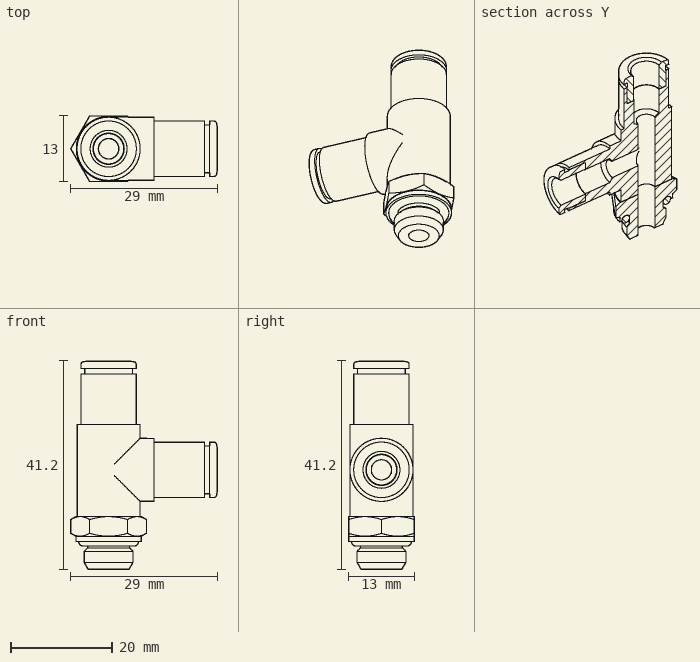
import cadquery as cq
import math

through_bore_d = 4.0
branch_axis_z = 19.7

stud_d = 9.73
neck_d = 8.3
lead_in_height = 1.4
lead_in_angle = 30.0
stud_tip_d = stud_d - 2 * lead_in_height * math.tan(math.radians(lead_in_angle))
thread_top_z = 3.55
relief_taper_height = (stud_d - neck_d) / 2
collar_d = 13.0
collar_bottom_z = 5.5
hex_bottom_z = 6.5
hex_height = 4.0
hex_top_z = hex_bottom_z + hex_height
hex_across_flats = 13.0
hex_across_corners = hex_across_flats / math.cos(math.radians(30))
hex_chamfer_d = 12.8
hex_chamfer_angle = 30.0

ring_outer_d = 11.9
ring_section_r = (ring_outer_d - neck_d) / 4
ring_center_r = (ring_outer_d + neck_d) / 4

barrel_d = 12.5
port_d = 11.0
shoulder_reach = 9.0
port_reach = 19.0
tube_bore_d = 6.0
seat_cone_angle = 30.0
seat_cone_depth = (tube_bore_d - through_bore_d) / 2 * math.tan(math.radians(seat_cone_angle))

sleeve_end_reach = 21.5
sleeve_neck_d = 9.5
sleeve_gap = 1.0
sleeve_insertion = 4.0
sleeve_bore_d = 6.2
sleeve_mouth_d = 7.3
sleeve_mouth_depth = (sleeve_mouth_d - sleeve_bore_d) / 2
sleeve_face_d = 8.8
sleeve_fillet_r = 0.55
sleeve_slope_angle = 10.0

sleeve_flange_start = port_reach + sleeve_gap
sleeve_inner_end = port_reach - sleeve_insertion


def build_stud():
    """Lower stud: threaded end, relief neck, ring groove, collar and chamfered hexagon."""
    bore_r = through_bore_d / 2
    turned = (
        cq.Workplane("XZ")
        .moveTo(bore_r, 0)
        .lineTo(stud_tip_d / 2, 0)
        .lineTo(stud_d / 2, lead_in_height)
        .lineTo(stud_d / 2, thread_top_z)
        .lineTo(neck_d / 2, thread_top_z + relief_taper_height)
        .lineTo(neck_d / 2, collar_bottom_z)
        .threePointArc(
            (ring_center_r, collar_bottom_z + ring_section_r),
            (ring_outer_d / 2, collar_bottom_z),
        )
        .lineTo(collar_d / 2, collar_bottom_z)
        .lineTo(collar_d / 2, hex_bottom_z)
        .lineTo(bore_r, hex_bottom_z)
        .close()
        .revolve(360, (0, 0), (0, 1))
    )
    hexagon = (
        cq.Workplane("XY", origin=(0, 0, hex_bottom_z))
        .polygon(6, hex_across_corners)
        .circle(bore_r)
        .extrude(hex_height)
    )
    return turned.union(hexagon.intersect(hex_chamfer_envelope()))


def hex_chamfer_envelope():
    """Round blank, coned at both ends, that trims the hexagon's corners."""
    corner_r = hex_across_corners / 2
    end_r = hex_chamfer_d / 2
    slope = math.tan(math.radians(hex_chamfer_angle))
    outer_r = corner_r + 1.0
    drop = (outer_r - end_r) * slope
    return (
        cq.Workplane("XZ")
        .moveTo(0, hex_bottom_z)
        .lineTo(end_r, hex_bottom_z)
        .lineTo(outer_r, hex_bottom_z + drop)
        .lineTo(outer_r, hex_top_z - drop)
        .lineTo(end_r, hex_top_z)
        .lineTo(0, hex_top_z)
        .close()
        .revolve(360, (0, 0), (0, 1))
    )


def build_sealing_ring():
    """Round-section ring around the neck, centred on the collar's underside."""
    return (
        cq.Workplane("XZ")
        .center(ring_center_r, collar_bottom_z)
        .circle(ring_section_r)
        .revolve(360, (-ring_center_r, 0), (-ring_center_r, 1))
    )


def onto_upper_port(shape):
    """Lift a shape, built along Z from the branch axis, onto the vertical port."""
    return shape.translate((0, 0, branch_axis_z))


def onto_side_port(shape):
    """Turn a shape, built along Z from the branch axis, onto the side port (+X)."""
    return onto_upper_port(shape.rotate((0, 0, 0), (0, 1, 0), 90))


port_placements = (onto_upper_port, onto_side_port)


def port_outside():
    """Barrel and slimmer port, starting at the branch axis."""
    return (
        cq.Workplane("XY")
        .circle(barrel_d / 2)
        .extrude(shoulder_reach)
        .faces(">Z")
        .workplane()
        .circle(port_d / 2)
        .extrude(port_reach - shoulder_reach)
    )


def port_cavity():
    """Through bore, tube seat cone, tube bore and sleeve recess, starting at the branch axis."""
    return (
        cq.Workplane("XZ")
        .moveTo(0, 0)
        .lineTo(through_bore_d / 2, 0)
        .lineTo(through_bore_d / 2, shoulder_reach - seat_cone_depth)
        .lineTo(tube_bore_d / 2, shoulder_reach)
        .lineTo(tube_bore_d / 2, sleeve_inner_end)
        .lineTo(sleeve_neck_d / 2, sleeve_inner_end)
        .lineTo(sleeve_neck_d / 2, port_reach)
        .lineTo(0, port_reach)
        .close()
        .revolve(360, (0, 0), (0, 1))
    )


def build_tee_body():
    """Tee standing on the hexagon, with one port upward and one to the side."""
    lower_length = branch_axis_z - hex_top_z
    lower_start = cq.Workplane("XY", origin=(0, 0, hex_top_z))
    body = lower_start.circle(barrel_d / 2).extrude(lower_length)
    cavity = lower_start.circle(through_bore_d / 2).extrude(lower_length)
    for place in port_placements:
        body = body.union(place(port_outside()))
        cavity = cavity.union(place(port_cavity()))
    return body.cut(cavity)


def build_release_sleeve():
    """Flanged sleeve, built along Z from the branch axis."""
    flange_r = port_d / 2
    slope = math.radians(sleeve_slope_angle)
    cone_r = flange_r - sleeve_fillet_r * (1 - math.sin(slope))
    cone_z = sleeve_end_reach - (cone_r - sleeve_face_d / 2) * math.tan(slope)
    fillet_z = cone_z - sleeve_fillet_r * math.cos(slope)
    return (
        cq.Workplane("XZ")
        .moveTo(sleeve_bore_d / 2, sleeve_inner_end)
        .lineTo(sleeve_neck_d / 2, sleeve_inner_end)
        .lineTo(sleeve_neck_d / 2, sleeve_flange_start)
        .lineTo(flange_r, sleeve_flange_start)
        .lineTo(flange_r, fillet_z)
        .tangentArcPoint((cone_r, cone_z), relative=False)
        .lineTo(sleeve_face_d / 2, sleeve_end_reach)
        .lineTo(sleeve_mouth_d / 2, sleeve_end_reach)
        .lineTo(sleeve_bore_d / 2, sleeve_end_reach - sleeve_mouth_depth)
        .close()
        .revolve(360, (0, 0), (0, 1))
    )


stud = build_stud()
sealing_ring = build_sealing_ring()
tee_body = build_tee_body()
release_sleeves = [place(build_release_sleeve()) for place in port_placements]

result = cq.Compound.makeCompound(
    [
        stud.val(),
        sealing_ring.val(),
        tee_body.val(),
        *[sleeve.val() for sleeve in release_sleeves],
    ]
)